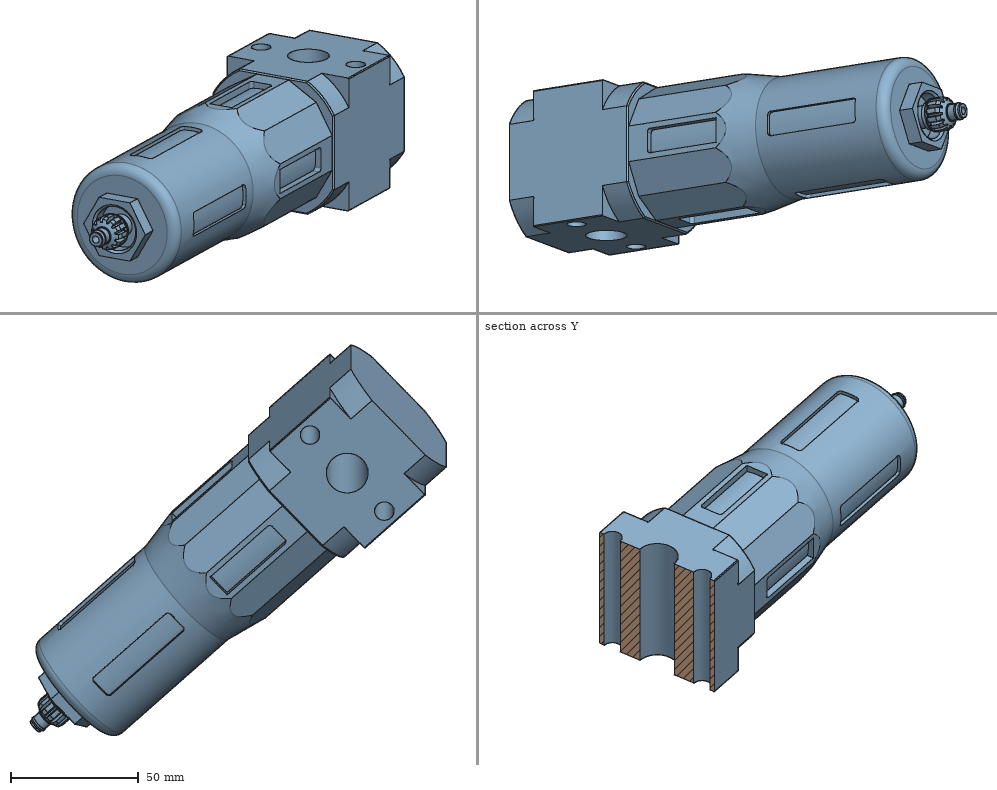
import cadquery as cq
import math


head_side = 55.0
head_length = 55.3
head_corner_chamfer = 0.4
back_trim_end = 11.3
front_trim_start = 43.5
end_trim_radius = 31.5
front_chamfer = 0.5
port_diameter = 16.3
port_station = head_side / 2
mount_hole_diameter = 7.5
mount_hole_offset = 21.4

grip_sides = 12
grip_width = 53.6
grip_corner_diameter = grip_width / math.cos(math.pi / grip_sides)
taper_start = 96.0
taper_end = 113.0

bowl_diameter = 48.7
bowl_end = 173.5
bowl_fillet = 4.0

window_count = 4
window_width = 10.0
window_corner_radius = 1.4
grip_window_start = 64.0
grip_window_end = 96.1
grip_window_floor_diameter = bowl_diameter
bowl_window_start = 118.5
bowl_window_end = 159.5
bowl_window_floor_diameter = 45.8

hex_width = 24.0
hex_height = 6.0
hex_end = bowl_end + hex_height
recess_diameter = 18.0
recess_chamfer = 1.0
recess_floor = bowl_end

tip_end = 194.2
shank_diameter = 9.0
shoulder_start = 178.3
shoulder_diameter = 11.3
knob_start = 180.5
knob_diameter = 13.4
knob_groove_start = 181.0
knob_groove_diameter = 11.3
teeth_start = 181.4
tooth_count = 12
tooth_width = 2.0
tooth_root_diameter = 10.1
tooth_bevel_start = 185.3
tooth_bevel_end = 187.0
tooth_bevel_diameter = 12.2
collar_start = 188.4
collar_end = 188.8
collar_diameter = 7.2
stem_diameter = 6.5
barb_start = 191.9
barb_cone_start = 192.6
barb_cone_end = 193.5
barb_diameter = 6.8
tip_diameter = 5.6
drain_bore_diameter = 3.0
drain_bore_depth = 5.8


def plane_at(station):
    """Workplane across the main axis; extruding goes toward the drain tip."""
    return cq.Workplane(cq.Plane(origin=(0, -station, 0), xDir=(1, 0, 0), normal=(0, -1, 0)))


def disc(diameter, start, end):
    return plane_at(start).circle(diameter / 2).extrude(end - start)


def turned(profile):
    """Solid of revolution from (diameter, station) pairs, closed along the main axis."""
    first_station = profile[0][1]
    last_station = profile[-1][1]
    points = [(0, -first_station)]
    points += [(diameter / 2, -station) for diameter, station in profile]
    points += [(0, -last_station)]
    return cq.Workplane("XY").polyline(points).close().revolve(360, (0, 0, 0), (0, 1, 0))


def make_head():
    middle_length = front_trim_start - back_trim_end
    middle = plane_at(back_trim_end).rect(head_side, head_side).extrude(middle_length)
    middle = middle.edges("|Y").chamfer(head_corner_chamfer)

    full_block = plane_at(0).rect(head_side, head_side).extrude(head_length)
    trimmed_block = full_block.intersect(disc(2 * end_trim_radius, 0, head_length))
    trimmed_block = trimmed_block.faces("<Y").chamfer(front_chamfer)
    return middle.union(trimmed_block)


def cut_head_holes(body):
    hole_plane = cq.Workplane("XY", origin=(0, -port_station, -head_side))
    port = hole_plane.circle(port_diameter / 2).extrude(2 * head_side)
    mount_holes = (
        hole_plane.pushPoints([(-mount_hole_offset, 0), (mount_hole_offset, 0)])
        .circle(mount_hole_diameter / 2)
        .extrude(2 * head_side)
    )
    return body.cut(port).cut(mount_holes)


def make_grip_and_bowl():
    prism = (
        plane_at(head_length)
        .polygon(grip_sides, grip_corner_diameter)
        .extrude(taper_end - head_length)
        .rotate((0, 0, 0), (0, 1, 0), 180 / grip_sides)
    )
    envelope = turned([
        (grip_corner_diameter, head_length),
        (grip_corner_diameter, taper_start),
        (bowl_diameter, taper_end),
    ])
    bowl = disc(bowl_diameter, taper_end, bowl_end).faces("<Y").edges().fillet(bowl_fillet)
    return prism.intersect(envelope).union(bowl)


def cut_windows(body, start, end, floor_diameter, rounded_corners):
    """Cut one ring of windows down to a cylindrical floor; the selector picks the rounded corners."""
    length = end - start
    cutter = (
        cq.Workplane("XY", origin=(0, -(start + end) / 2, 0))
        .rect(window_width, length)
        .extrude(head_side)
        .edges(rounded_corners)
        .fillet(window_corner_radius)
        .cut(disc(floor_diameter, start, end))
    )
    for i in range(window_count):
        body = body.cut(cutter.rotate((0, 0, 0), (0, 1, 0), i * 360 / window_count))
    return body


def make_hex_boss():
    corner_diameter = hex_width / math.cos(math.pi / 6)
    boss = plane_at(bowl_end).polygon(6, corner_diameter).extrude(hex_height)
    recess = turned([
        (recess_diameter, recess_floor),
        (recess_diameter, hex_end - recess_chamfer),
        (recess_diameter + 2 * recess_chamfer, hex_end),
    ])
    return boss, recess


def make_housing():
    body = make_head().union(make_grip_and_bowl())
    body = cut_head_holes(body)
    body = cut_windows(body, grip_window_start, grip_window_end, grip_window_floor_diameter, "|Z and >Y")
    body = cut_windows(body, bowl_window_start, bowl_window_end, bowl_window_floor_diameter, "|Z")
    boss, recess = make_hex_boss()
    return body.union(boss).cut(recess)


def make_drain_screw():
    body = turned([
        (shank_diameter, recess_floor),
        (shank_diameter, shoulder_start),
        (shoulder_diameter, shoulder_start),
        (shoulder_diameter, knob_start),
        (knob_diameter, knob_start),
        (knob_diameter, knob_groove_start),
        (knob_groove_diameter, knob_groove_start),
        (knob_groove_diameter, teeth_start),
        (knob_diameter, teeth_start),
        (knob_diameter, tooth_bevel_start),
        (tooth_bevel_diameter, tooth_bevel_end),
        (collar_diameter, collar_start),
        (collar_diameter, collar_end),
        (stem_diameter, collar_end),
        (stem_diameter, barb_start),
        (barb_diameter, barb_start),
        (barb_diameter, barb_cone_start),
        (tip_diameter, barb_cone_end),
        (tip_diameter, tip_end),
    ])
    body = body.cut(make_tooth_gaps())
    return body.cut(disc(drain_bore_diameter, tip_end - drain_bore_depth, tip_end))


def make_tooth_gaps():
    """Ring around the knob core with the teeth taken out of it."""
    ring = disc(2 * knob_diameter, teeth_start, collar_start)
    ring = ring.cut(disc(tooth_root_diameter, teeth_start, collar_start))
    tooth = (
        plane_at(teeth_start)
        .center(knob_diameter / 2, 0)
        .rect(knob_diameter, tooth_width)
        .extrude(collar_start - teeth_start)
    )
    for i in range(tooth_count):
        ring = ring.cut(tooth.rotate((0, 0, 0), (0, 1, 0), i * 360 / tooth_count))
    return ring


housing = make_housing()
drain_screw = make_drain_screw()

result = cq.Compound.makeCompound([housing.val(), drain_screw.val()])